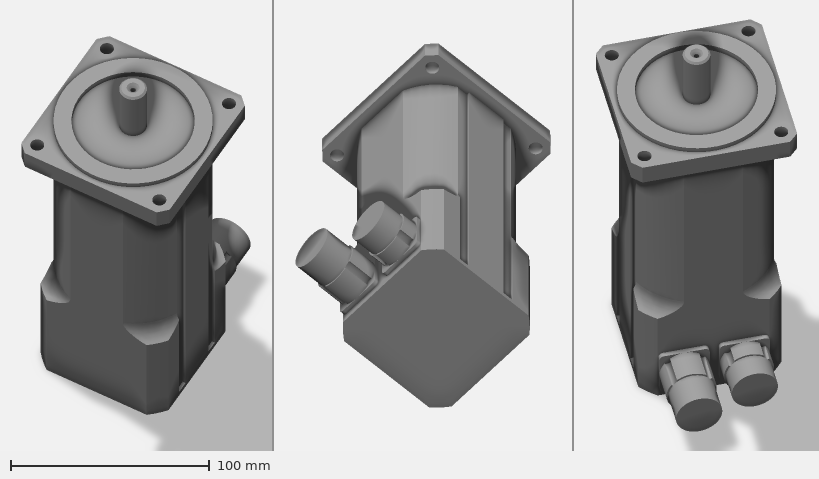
import cadquery as cq
import math

TOTAL_HEIGHT = 208.0
SHAFT_LENGTH = 27.0
PILOT_HEIGHT = 3.0
FLANGE_THICKNESS = 11.0
PILOT_TOP = TOTAL_HEIGHT - SHAFT_LENGTH
FLANGE_TOP = PILOT_TOP - PILOT_HEIGHT
FLANGE_BOTTOM = FLANGE_TOP - FLANGE_THICKNESS

BODY_WIDTH = 74.0
BASE_RADIUS = 47.0
PILOT_DIAMETER = 80.0
TURNED_RADIUS = PILOT_DIAMETER / 2
BASE_HEIGHT = 57.0
BLEND_RADIUS = 9.5

GROOVE_INNER_Y = 11.6
GROOVE_OUTER_Y = 18.0
GROOVE_DEPTH = 1.7
GROOVE_BOTTOM = 3.0

FLANGE_WIDTH = 86.0
FLANGE_CHAMFER = 4.8
BOLT_SPACING = 70.7
BOLT_HOLE_DIAMETER = 7.0
RECESS_DIAMETER = 62.0
RECESS_DEPTH = 3.5

SHAFT_DIAMETER = 14.0
SHAFT_CHAMFER = 1.0
CENTRE_HOLE_DIAMETER = 2.7
CENTRE_CONE_DIAMETER = 6.5
CENTRE_CONE_DEPTH = 1.9
CENTRE_HOLE_DEPTH = 6.2

OVERALL_DEPTH = 114.0
CONNECTOR_OFFSET_X = 15.5
CONNECTOR_Z = 18.0
PLATE_SIZE = 26.0
PLATE_THICKNESS = 2.5
PLATE_CORNER_RADIUS = 2.5
COLLAR_DIAMETER = PLATE_SIZE
PLUG_DIAMETER = 24.0
FLUTE_COUNT = 4
FLUTE_DIAMETER = 4.2
SHORT_COLLAR_LENGTH = 9.0
SHORT_PLUG_LENGTH = 12.5
LONG_COLLAR_LENGTH = 15.2
LONG_REACH_Y = OVERALL_DEPTH - FLANGE_WIDTH / 2
LONG_PLUG_LENGTH = LONG_REACH_Y - BODY_WIDTH / 2 - PLATE_THICKNESS - LONG_COLLAR_LENGTH


def disc(diameter, bottom, height):
    """Cylinder on the shaft axis, standing on the level `bottom`."""
    return cq.Workplane("XY").workplane(offset=bottom).circle(diameter / 2).extrude(height)


def make_housing():
    """Square bar cut by a turned envelope, whose step has a concave blend."""
    step = BASE_RADIUS - TURNED_RADIUS
    blend_height = math.sqrt(BLEND_RADIUS**2 - (BLEND_RADIUS - step) ** 2)
    blend_top = BASE_HEIGHT + blend_height
    half_angle = math.asin(blend_height / BLEND_RADIUS) / 2
    arc_middle = (
        TURNED_RADIUS + BLEND_RADIUS * (1 - math.cos(half_angle)),
        blend_top - BLEND_RADIUS * math.sin(half_angle),
    )
    envelope = (
        cq.Workplane("XZ")
        .lineTo(BASE_RADIUS, 0)
        .lineTo(BASE_RADIUS, BASE_HEIGHT)
        .threePointArc(arc_middle, (TURNED_RADIUS, blend_top))
        .lineTo(TURNED_RADIUS, FLANGE_BOTTOM)
        .lineTo(0, FLANGE_BOTTOM)
        .close()
        .revolve(360, (0, 0, 0), (0, 1, 0))
    )
    bar = cq.Workplane("XY").rect(BODY_WIDTH, BODY_WIDTH).extrude(FLANGE_BOTTOM)
    return bar.intersect(envelope)


def make_side_grooves():
    """Four shallow grooves, two on each X side, running up to the flange."""
    centre_x = BODY_WIDTH / 2
    centre_y = (GROOVE_INNER_Y + GROOVE_OUTER_Y) / 2
    return (
        cq.Workplane("XY")
        .workplane(offset=GROOVE_BOTTOM)
        .rect(2 * centre_x, 2 * centre_y, forConstruction=True)
        .vertices()
        .rect(2 * GROOVE_DEPTH, GROOVE_OUTER_Y - GROOVE_INNER_Y)
        .extrude(FLANGE_BOTTOM - GROOVE_BOTTOM)
    )


def make_flange():
    """Square flange with chamfered corners, bolt holes and a recessed pilot."""
    plate = (
        cq.Workplane("XY")
        .workplane(offset=FLANGE_BOTTOM)
        .rect(FLANGE_WIDTH, FLANGE_WIDTH)
        .extrude(FLANGE_THICKNESS)
        .edges("|Z")
        .chamfer(FLANGE_CHAMFER)
    )
    bolt_holes = (
        cq.Workplane("XY")
        .workplane(offset=FLANGE_BOTTOM)
        .rect(BOLT_SPACING, BOLT_SPACING, forConstruction=True)
        .vertices()
        .circle(BOLT_HOLE_DIAMETER / 2)
        .extrude(FLANGE_THICKNESS)
    )
    pilot = disc(PILOT_DIAMETER, FLANGE_TOP, PILOT_HEIGHT)
    recess = disc(RECESS_DIAMETER, PILOT_TOP - RECESS_DEPTH, RECESS_DEPTH)
    return plate.cut(bolt_holes).union(pilot).cut(recess)


def make_shaft():
    """Chamfered shaft with a conical centre hole, rising from the recess floor."""
    shaft_bottom = PILOT_TOP - RECESS_DEPTH
    shaft = disc(SHAFT_DIAMETER, shaft_bottom, TOTAL_HEIGHT - shaft_bottom)
    shaft = shaft.faces(">Z").chamfer(SHAFT_CHAMFER)
    cone = cq.Workplane(
        cq.Solid.makeCone(
            CENTRE_HOLE_DIAMETER / 2,
            CENTRE_CONE_DIAMETER / 2,
            CENTRE_CONE_DEPTH,
            pnt=cq.Vector(0, 0, TOTAL_HEIGHT - CENTRE_CONE_DEPTH),
        )
    )
    bore = disc(CENTRE_HOLE_DIAMETER, TOTAL_HEIGHT - CENTRE_HOLE_DEPTH, CENTRE_HOLE_DEPTH)
    return shaft.cut(cone).cut(bore)


def make_motor():
    """Housing, flange and shaft as one solid."""
    housing = make_housing().cut(make_side_grooves())
    return housing.union(make_flange()).union(make_shaft())


def make_connector(x, collar_length, plug_length):
    """Square plate, fluted collar and round plug, pointing along +Y from the housing."""

    def section(start_y):
        origin = (x, start_y, CONNECTOR_Z)
        return cq.Workplane(cq.Plane(origin=origin, xDir=(1, 0, 0), normal=(0, 1, 0)))

    plate_start = BODY_WIDTH / 2
    collar_start = plate_start + PLATE_THICKNESS
    plug_start = collar_start + collar_length

    plate = section(plate_start).rect(PLATE_SIZE, PLATE_SIZE).extrude(PLATE_THICKNESS)
    plate = plate.edges("|Y").fillet(PLATE_CORNER_RADIUS)
    collar = section(collar_start).circle(COLLAR_DIAMETER / 2).extrude(collar_length)
    flutes = (
        section(collar_start)
        .polarArray(COLLAR_DIAMETER / 2, 180 / FLUTE_COUNT, 360, FLUTE_COUNT)
        .circle(FLUTE_DIAMETER / 2)
        .extrude(collar_length)
    )
    plug = section(plug_start).circle(PLUG_DIAMETER / 2).extrude(plug_length)
    return plate.union(collar.cut(flutes)).union(plug)


motor = make_motor()

CONNECTORS = [
    (-CONNECTOR_OFFSET_X, SHORT_COLLAR_LENGTH, SHORT_PLUG_LENGTH),
    (CONNECTOR_OFFSET_X, LONG_COLLAR_LENGTH, LONG_PLUG_LENGTH),
]
connectors = [make_connector(*sizes).val() for sizes in CONNECTORS]

result = cq.Compound.makeCompound([motor.val(), *connectors])